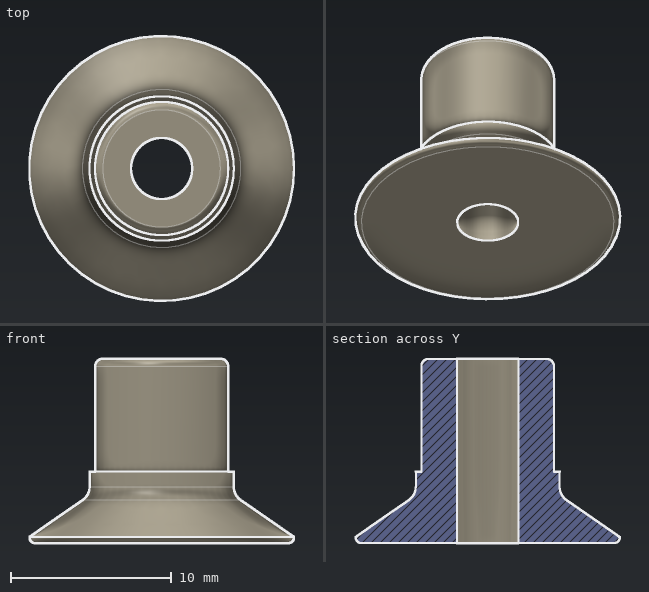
import cadquery as cq
import math

skirt_radius = 16.5 / 2
collar_radius = 9.0 / 2
stem_radius = 8.3 / 2
bore_radius = 3.8 / 2
total_height = 11.5
collar_top = 4.47
collar_bottom = 3.51
rim_height = 0.4
stem_rounding = 0.5
neck_fillet = 0.99

fillet_center_x = collar_radius + neck_fillet
center_to_rim_x = skirt_radius - fillet_center_x
center_to_rim_z = rim_height - collar_bottom
center_to_rim = math.hypot(center_to_rim_x, center_to_rim_z)
sight_angle = math.atan2(center_to_rim_z, center_to_rim_x)
tangent_angle = sight_angle - math.acos(neck_fillet / center_to_rim)


def fillet_point(angle):
    """Point on the neck fillet at an angle about its centre."""
    return (
        fillet_center_x + neck_fillet * math.cos(angle),
        collar_bottom + neck_fillet * math.sin(angle),
    )


section = (
    cq.Workplane("XZ")
    .moveTo(bore_radius, 0)
    .lineTo(skirt_radius - rim_height, 0)
    .radiusArc((skirt_radius, rim_height), -rim_height)
    .lineTo(*fillet_point(tangent_angle))
    .threePointArc(
        fillet_point((tangent_angle - math.pi) / 2),
        (collar_radius, collar_bottom),
    )
    .lineTo(collar_radius, collar_top)
    .lineTo(stem_radius, collar_top)
    .lineTo(stem_radius, total_height - stem_rounding)
    .radiusArc((stem_radius - stem_rounding, total_height), -stem_rounding)
    .lineTo(bore_radius, total_height)
    .close()
)

result = section.revolve(360, (0, 0, 0), (0, 1, 0))